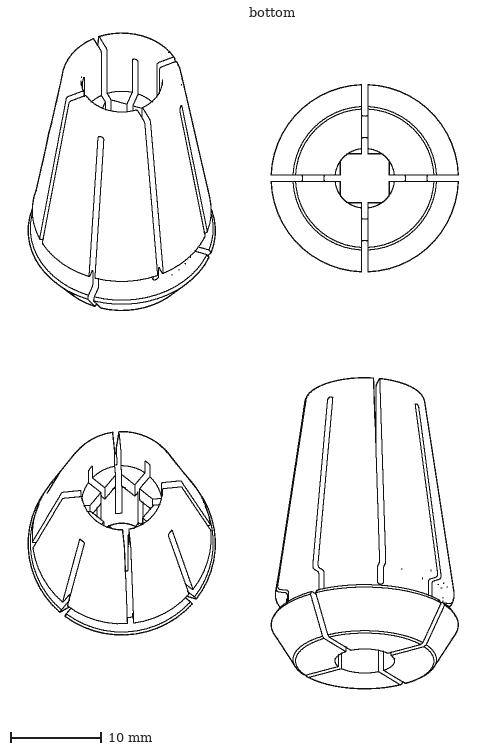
import cadquery as cq
import math

length = 31.5
taper_angle = math.radians(8.0)
flange_angle = math.radians(30.0)

taper_max_radius = 10.0
taper_foot_z = 7.65
foot_fillet = 0.35
top_edge_fillet = 0.28

groove_radius = 8.7
groove_floor_fillet = 0.2
groove_roof_fillet = 0.28

flange_radius = 10.4
flange_top_z = 4.8
flange_rim_z = 4.38
flange_rim_inset = 0.25
base_edge_chamfer = 0.2

shank_radius = 3.3
shank_depth = 17.95
square_side = 5.42
relief_radius = 4.5
relief_depth = 7.88
mouth_fillet = 0.28

slot_width = 0.7
saw_radius = 63.0
base_slot_end_z = 29.83
base_slot_angles = (0, 90)
top_slot_end_z = 4.95
top_slot_angles = (45, 135)


def rim(radius, z):
    """Select the circular edge of the given radius at height z."""
    margin = 0.03
    outer = radius + margin
    inner = radius - margin
    low = z - margin
    high = z + margin
    within_outer = cq.selectors.BoxSelector((-outer, -outer, low), (outer, outer, high), boundingbox=True)
    within_inner = cq.selectors.BoxSelector((-inner, -inner, low), (inner, inner, high), boundingbox=True)
    return within_outer - within_inner


def make_body():
    """Revolve the outer outline, then break its edges."""
    top_radius = taper_max_radius - (length - taper_foot_z) * math.tan(taper_angle)
    base_radius = flange_radius - flange_rim_z * math.tan(flange_angle)
    outline = [
        (0, 0),
        (base_radius, 0),
        (flange_radius, flange_rim_z),
        (flange_radius - flange_rim_inset, flange_top_z),
        (groove_radius, flange_top_z),
        (groove_radius, taper_foot_z),
        (taper_max_radius, taper_foot_z),
        (top_radius, length),
        (0, length),
    ]
    body = cq.Workplane("XZ").polyline(outline).close().revolve(360, (0, 0), (0, 1))
    body = body.edges(rim(groove_radius, flange_top_z)).fillet(groove_floor_fillet)
    body = body.edges(rim(groove_radius, taper_foot_z)).fillet(groove_roof_fillet)
    body = body.edges(rim(taper_max_radius, taper_foot_z)).fillet(foot_fillet)
    body = body.edges(">Z").fillet(top_edge_fillet)
    return body.edges("<Z").chamfer(base_edge_chamfer)


def make_hole():
    """Shank bore from the base, square through the middle, relief from the top."""
    relief_floor_z = length - relief_depth
    shank = cq.Workplane("XY").circle(shank_radius).extrude(shank_depth)
    square = (
        cq.Workplane("XY", origin=(0, 0, shank_depth))
        .rect(square_side, square_side)
        .extrude(relief_floor_z - shank_depth)
    )
    relief = cq.Workplane("XY", origin=(0, 0, relief_floor_z)).circle(relief_radius).extrude(relief_depth)
    return shank.union(square).union(relief)


def make_saw(center_z, angle):
    """Saw disc standing on edge across the axis, with a fully rounded rim."""
    rim_radius = slot_width / 2
    web_radius = saw_radius - rim_radius
    disc = (
        cq.Workplane("YZ", origin=(0, 0, center_z))
        .moveTo(-rim_radius, 0)
        .lineTo(-rim_radius, web_radius)
        .threePointArc((0, saw_radius), (rim_radius, web_radius))
        .lineTo(rim_radius, 0)
        .close()
        .revolve(360, (0, 0), (1, 0))
    )
    return disc.rotate((0, 0, 0), (0, 0, 1), angle)


result = make_body().cut(make_hole())
result = result.edges(rim(relief_radius, length)).fillet(mouth_fillet)

for angle in base_slot_angles:
    result = result.cut(make_saw(base_slot_end_z - saw_radius, angle))
for angle in top_slot_angles:
    result = result.cut(make_saw(top_slot_end_z + saw_radius, angle))